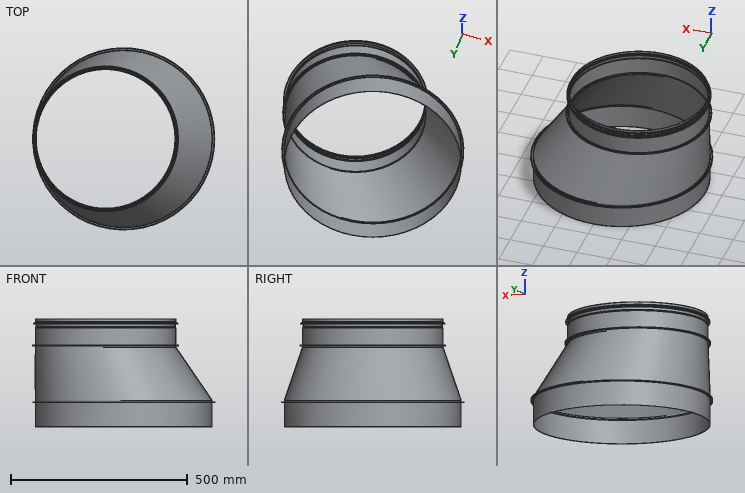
import cadquery as cq

wall = 0.5
height = 305.5
base_radius = 501.5 / 2
neck_radius = 398.5 / 2

flange_width = 5.0
hem_width = 7.0
seam_sheet = 0.75
lower_hem_gap = 1.0
upper_hem_gap = 1.5
lower_seam_z = 70.0
upper_seam_z = 229.5
rim_height = 4.5

groove_depth = 2.3
groove_bottom_z = 281.5
groove_top_z = 296.0
groove_slope = 2.0

lead_in_depth = 0.25
lead_in_height = 1.0

seal_thickness = 0.5
seal_bottom_z = 283.5
main_lip_radius = 409.0 / 2
main_lip_z = 291.0
main_lip_thickness = 1.5
small_lip_radius = 404.5 / 2
small_lip_z = 295.0
small_lip_thickness = 0.5

neck_x = neck_radius - base_radius


def revolve(profile, axis_x=0.0):
    """Turn a closed list of (radius, z) points about the vertical line x = axis_x."""
    ring = cq.Workplane("XZ").polyline(profile).close().revolve(360, (0, 0, 0), (0, 1, 0))
    return ring.translate((axis_x, 0, 0))


def make_lower_collar():
    """Plain tube with an outward flange at its top."""
    inner = base_radius - wall
    flange = base_radius + flange_width
    return revolve([
        (inner, 0),
        (base_radius, 0),
        (base_radius, lower_seam_z - seam_sheet),
        (flange, lower_seam_z - seam_sheet),
        (flange, lower_seam_z),
        (inner, lower_seam_z),
    ])


def make_upper_collar():
    """Tube with an outward flange at its bottom, a pressed-in seal groove and a rim bent slightly inward."""
    flange = neck_radius + flange_width
    outside = [
        (flange, upper_seam_z),
        (flange, upper_seam_z + seam_sheet),
        (neck_radius, upper_seam_z + seam_sheet),
        (neck_radius, groove_bottom_z - groove_slope),
        (neck_radius - groove_depth, groove_bottom_z),
        (neck_radius - groove_depth, groove_top_z),
        (neck_radius, groove_top_z + groove_slope),
        (neck_radius, height - lead_in_height),
        (neck_radius - lead_in_depth, height),
    ]
    inside = [(radius - wall, z) for radius, z in reversed(outside[3:])]
    return revolve(outside + inside + [(neck_radius - wall, upper_seam_z)], neck_x)


def seam_rim(tube_radius, seam_z, side, hem_gap, axis_x):
    """Cone rim with a flange hemmed around a collar flange; side is +1 if the collar is above."""
    inner = tube_radius - wall
    hem_outer = tube_radius + hem_width
    flange = tube_radius + flange_width
    hem_end = tube_radius + hem_gap
    return revolve([
        (inner, seam_z - side * rim_height),
        (tube_radius, seam_z - side * rim_height),
        (tube_radius, seam_z - side * seam_sheet),
        (hem_outer, seam_z - side * seam_sheet),
        (hem_outer, seam_z + side * 2 * seam_sheet),
        (hem_end, seam_z + side * 2 * seam_sheet),
        (hem_end, seam_z + side * seam_sheet),
        (flange, seam_z + side * seam_sheet),
        (flange, seam_z),
        (inner, seam_z),
    ], axis_x)


def slanted_solid(inset):
    """Oblique frustum between the two rims, with both circles reduced by inset."""
    bottom_z = lower_seam_z + rim_height
    top_z = upper_seam_z - rim_height
    bottom = cq.Wire.makeCircle(base_radius - inset, cq.Vector(0, 0, bottom_z), cq.Vector(0, 0, 1))
    top = cq.Wire.makeCircle(neck_radius - inset, cq.Vector(neck_x, 0, top_z), cq.Vector(0, 0, 1))
    return cq.Workplane(cq.Solid.makeLoft([bottom, top], True))


def make_cone():
    """Eccentric reducer wall with a hemmed rim at each end."""
    shell = slanted_solid(0).cut(slanted_solid(wall))
    lower_rim = seam_rim(base_radius, lower_seam_z, -1, lower_hem_gap, 0)
    upper_rim = seam_rim(neck_radius, upper_seam_z, 1, upper_hem_gap, neck_x)
    return shell.union(lower_rim).union(upper_rim)


def make_seal():
    """Thin band lying in the groove, with a thick main lip and a thin upper lip."""
    inner = neck_radius - groove_depth
    outer = inner + seal_thickness
    return revolve([
        (inner, seal_bottom_z),
        (outer, seal_bottom_z),
        (outer, main_lip_z),
        (main_lip_radius, main_lip_z),
        (main_lip_radius, main_lip_z + main_lip_thickness),
        (outer, main_lip_z + main_lip_thickness),
        (outer, small_lip_z),
        (small_lip_radius, small_lip_z),
        (small_lip_radius, small_lip_z + small_lip_thickness),
        (outer, small_lip_z + small_lip_thickness),
        (outer, groove_top_z),
        (inner, groove_top_z),
    ], neck_x)


lower_collar = make_lower_collar()
cone = make_cone()
upper_collar = make_upper_collar()
seal = make_seal()

result = cq.Compound.makeCompound([
    lower_collar.val(),
    cone.solids().val(),
    upper_collar.val(),
    seal.val(),
])